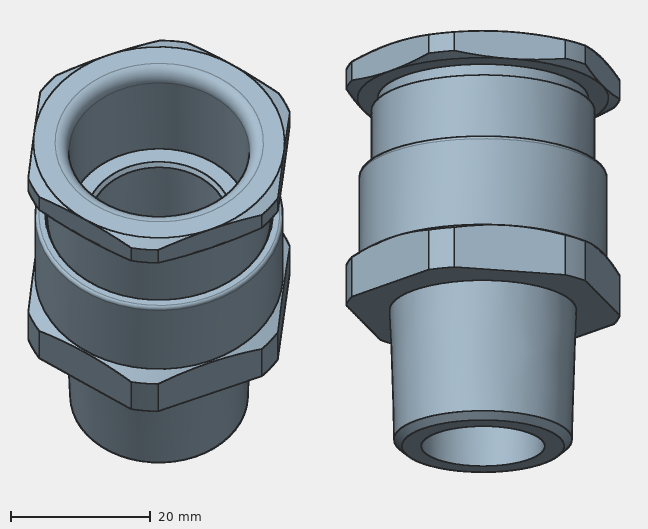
import cadquery as cq
import math

ACROSS_FLATS = 36.0
CORNER_DIAMETER = 39.5

TIP_CHAMFER_TOP = 1.0
BODY_HEX_BOTTOM = 20.55
BODY_HEX_TOP = 27.5
BODY_TOP = 41.05
SLEEVE_TOP = 50.75
NUT_HEX_BOTTOM = 52.65
NUT_TOP = 56.75
SLEEVE_BOTTOM = 40.2

NUT_CHAMFER_HEIGHT = 0.6
BODY_CHAMFER_HEIGHT = 0.95

TIP_RADIUS = 11.65
TAPER_SMALL_RADIUS = 12.75
TAPER_LARGE_RADIUS = 13.4
COLLAR_RADIUS = 17.75
COLLAR_FILLET = 0.5
SLEEVE_RADIUS = 16.0
SOCKET_CLEARANCE = 0.3
NECK_RADIUS = 15.1

NUT_BORE_RADIUS = 12.95
NUT_MOUTH_FILLET = 2.0
BORE_TOP_RADIUS = 9.95
BORE_BOTTOM_RADIUS = 8.85
BORE_CHAMFER = 0.55


def revolve(profile):
    """Solid of revolution about Z from (radius, height) points."""
    return cq.Workplane("XZ").polyline(profile).close().revolve(360, (0, 0, 0), (0, 1, 0))


def cylinder(radius, bottom, top):
    """Solid cylinder about Z between two heights."""
    return cq.Workplane("XY", origin=(0, 0, bottom)).circle(radius).extrude(top - bottom)


def hexagon(bottom, top, chamfer_radius, chamfer_height, chamfer_bottom):
    """Hexagon with flats on +X and -X, turned corners and conical chamfers."""
    corner_radius = CORNER_DIAMETER / 2
    prism = (
        cq.Workplane("XY", origin=(0, 0, bottom))
        .polygon(6, ACROSS_FLATS / math.cos(math.pi / 6))
        .extrude(top - bottom)
        .rotate((0, 0, 0), (0, 0, 1), 30)
    )
    if chamfer_bottom:
        lower_edge = [(chamfer_radius, bottom), (corner_radius, bottom + chamfer_height)]
    else:
        lower_edge = [(corner_radius, bottom)]
    upper_edge = [(corner_radius, top - chamfer_height), (chamfer_radius, top)]
    return prism.intersect(revolve([(0, bottom)] + lower_edge + upper_edge + [(0, top)]))


def make_body():
    """Entry body: tapered thread, hexagon and collar with a socket for the nut's sleeve."""
    thread = revolve([
        (0, 0),
        (TIP_RADIUS, 0),
        (TAPER_SMALL_RADIUS, TIP_CHAMFER_TOP),
        (TAPER_LARGE_RADIUS, BODY_HEX_BOTTOM),
        (0, BODY_HEX_BOTTOM),
    ])
    collar = cylinder(COLLAR_RADIUS, BODY_HEX_TOP, BODY_TOP).faces(">Z").edges().fillet(COLLAR_FILLET)
    flange = hexagon(BODY_HEX_BOTTOM, BODY_HEX_TOP, COLLAR_RADIUS, BODY_CHAMFER_HEIGHT, chamfer_bottom=False)
    socket = cylinder(SLEEVE_RADIUS + SOCKET_CLEARANCE, SLEEVE_BOTTOM, BODY_TOP)
    bore = revolve([
        (0, 0),
        (BORE_BOTTOM_RADIUS, 0),
        (BORE_TOP_RADIUS, SLEEVE_BOTTOM - BORE_CHAMFER),
        (BORE_TOP_RADIUS + BORE_CHAMFER, SLEEVE_BOTTOM),
        (0, SLEEVE_BOTTOM),
    ])
    return thread.union(flange).union(collar).cut(socket).cut(bore)


def make_nut():
    """Clamping nut: hexagon, relief neck and sleeve around a round-mouthed bore."""
    sleeve = cylinder(SLEEVE_RADIUS, SLEEVE_BOTTOM, SLEEVE_TOP)
    neck = cylinder(NECK_RADIUS, SLEEVE_TOP, NUT_HEX_BOTTOM)
    head = hexagon(NUT_HEX_BOTTOM, NUT_TOP, ACROSS_FLATS / 2, NUT_CHAMFER_HEIGHT, chamfer_bottom=True)
    bore = cylinder(NUT_BORE_RADIUS, SLEEVE_BOTTOM, NUT_TOP)
    nut = sleeve.union(neck).union(head).cut(bore)
    mouth_edge = cq.selectors.RadiusNthSelector(0)
    return nut.faces(">Z").edges(mouth_edge).fillet(NUT_MOUTH_FILLET)


body = make_body()
nut = make_nut()

result = cq.Compound.makeCompound([body.val(), nut.val()])